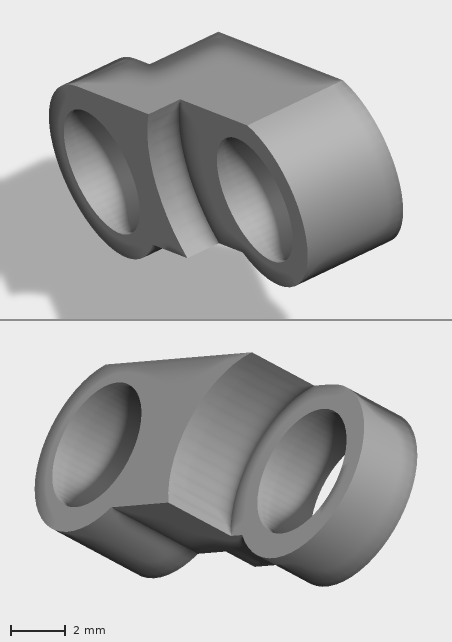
import cadquery as cq
import math

length_x = 14.99
height_z = 11.44
thickness = 5.6
eye_radius = 3.5
bore_diameter = 5.0

tilt = math.radians(27.8)
lower_side_offset = 2.43

front_relief_depth = 1.4
front_relief_radius = 5.0
front_relief_rise = 0.2
back_relief_start = 2.58
back_relief_radius = 4.0
back_relief_drop = 0.36

lower_eye = (0.0, 0.0)
upper_eye = (length_x - 2 * eye_radius, height_z - 2 * eye_radius)


def on_circle(center, radius, angle):
    """XZ point on a circle, with the angle measured from +X towards +Z."""
    return (center[0] + radius * math.cos(angle), center[1] + radius * math.sin(angle))


def cylinder(center, radius, y_start, y_end):
    """Solid cylinder along Y between two depths."""
    return (
        cq.Workplane("XZ", origin=(0, y_start, 0))
        .center(*center)
        .circle(radius)
        .extrude(y_start - y_end)
    )


def make_body():
    """Full-thickness link: the upper side is tangent to the lower eye and trims the upper one."""
    eye_offset = upper_eye[1] * math.cos(tilt) - upper_eye[0] * math.sin(tilt)
    square_up = tilt + math.pi / 2

    tangent_angle = square_up
    trim_angle = square_up - math.acos((eye_radius - eye_offset) / eye_radius)
    upper_end_angle = tilt - math.pi + math.asin((lower_side_offset + eye_offset) / eye_radius)
    lower_end_angle = tilt - math.asin(lower_side_offset / eye_radius)

    upper_middle = (trim_angle + upper_end_angle) / 2
    lower_middle = (lower_end_angle + tangent_angle - 2 * math.pi) / 2

    tangent_point = on_circle(lower_eye, eye_radius, tangent_angle)
    return (
        cq.Workplane("XZ")
        .moveTo(*tangent_point)
        .lineTo(*on_circle(upper_eye, eye_radius, trim_angle))
        .threePointArc(
            on_circle(upper_eye, eye_radius, upper_middle),
            on_circle(upper_eye, eye_radius, upper_end_angle),
        )
        .lineTo(*on_circle(lower_eye, eye_radius, lower_end_angle))
        .threePointArc(on_circle(lower_eye, eye_radius, lower_middle), tangent_point)
        .close()
        .extrude(-thickness)
    )


def make_front_relief():
    """Round relief that sets the upper eye back from the front face."""
    center = (upper_eye[0], upper_eye[1] + front_relief_rise)
    return cylinder(center, front_relief_radius, 0, front_relief_depth)


def make_back_relief():
    """Round relief that thins the lower eye from the back face."""
    center = (lower_eye[0], lower_eye[1] - back_relief_drop)
    return cylinder(center, back_relief_radius, back_relief_start, thickness)


result = make_body().cut(make_front_relief()).cut(make_back_relief())

for eye in (lower_eye, upper_eye):
    result = result.cut(cylinder(eye, bore_diameter / 2, 0, thickness))